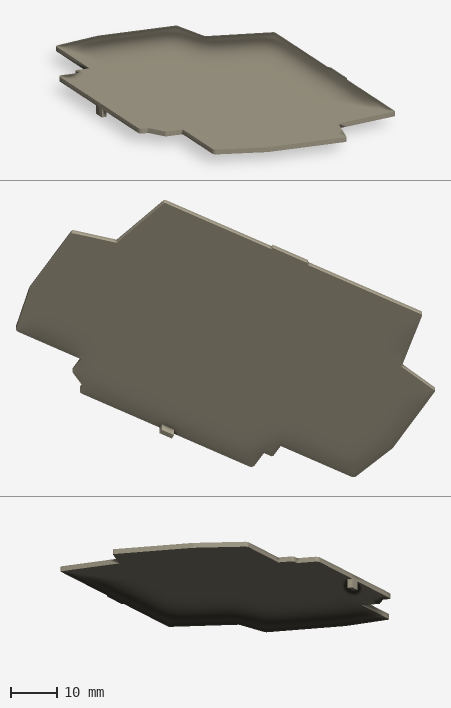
import cadquery as cq

length = 90.4
depth = 56.3
height = 3.0
plate_thickness = 1.1

half_length = length / 2
base_half_width = 42.1
base_y = 8.4
side_bottom_y = 19.9
side_top_y = 38.5
neck_half_width = 35.4
neck_y = 40.9
crown_half_width = 32.1
crown_y = 55.9

tongue_half_width = 21.7
step_x = -23.9
step_y = 4.9
ramp_x = 25.7
ramp_top_y = 4.3
ramp_bottom_y = 2.0

tab_left = -3.25
tab_right = 5.4

peg_width = 3.1
peg_depth = 1.1

corner_radius = 0.9
small_radius = 0.45


def make_plate():
    """Flat plate with its rounded outer corners."""
    outline = [
        (-tongue_half_width, 0),
        (tongue_half_width, 0),
        (tongue_half_width, ramp_bottom_y),
        (ramp_x, ramp_top_y),
        (ramp_x, base_y),
        (base_half_width, base_y),
        (half_length, side_bottom_y),
        (half_length, side_top_y),
        (neck_half_width, neck_y),
        (crown_half_width, crown_y),
        (-crown_half_width, crown_y),
        (-neck_half_width, neck_y),
        (-half_length, side_top_y),
        (-half_length, side_bottom_y),
        (-base_half_width, base_y),
        (step_x, base_y),
        (step_x, step_y),
        (-tongue_half_width, step_y),
    ]
    plate = cq.Workplane("XY").polyline(outline).close().extrude(plate_thickness)
    large_corners = [
        (-tongue_half_width, 0),
        (tongue_half_width, 0),
        (base_half_width, base_y),
        (-base_half_width, base_y),
    ]
    small_corners = [
        (half_length, side_top_y),
        (-half_length, side_top_y),
        (crown_half_width, crown_y),
        (-crown_half_width, crown_y),
        (step_x, step_y),
    ]
    for corners, radius in ((large_corners, corner_radius), (small_corners, small_radius)):
        for x, y in corners:
            corner = cq.selectors.NearestToPointSelector((x, y, plate_thickness / 2))
            plate = plate.edges("|Z").edges(corner).fillet(radius)
    return plate


def make_tab():
    """Tab rising from the upper edge, with a sloped left end."""
    tab_rise = depth - crown_y
    return (
        cq.Workplane("XY")
        .moveTo(tab_left - tab_rise, crown_y)
        .lineTo(tab_left, depth)
        .lineTo(tab_right, depth)
        .lineTo(tab_right, crown_y)
        .close()
        .extrude(plate_thickness)
    )


def make_peg():
    """Rectangular peg reaching from the top of the plate to below it."""
    return (
        cq.Workplane("XY", origin=(0, 0, plate_thickness - height))
        .rect(peg_width, peg_depth)
        .extrude(height)
        .translate((0, peg_depth / 2, 0))
    )


result = make_plate().union(make_tab()).union(make_peg())